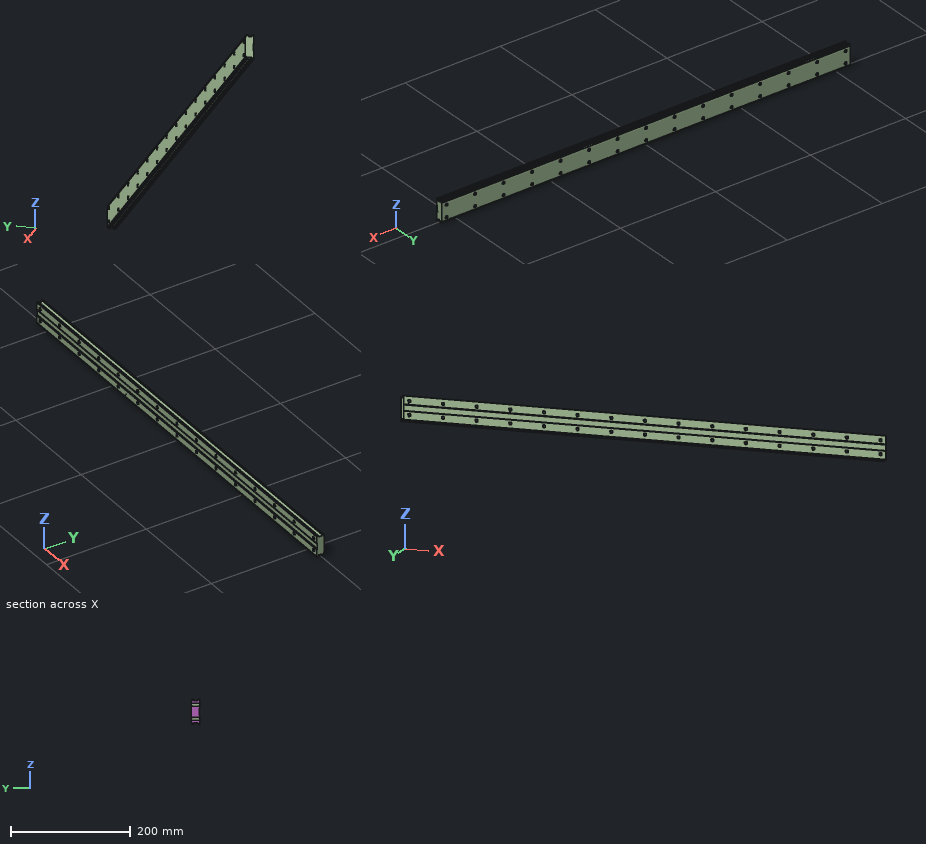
import math

import cadquery as cq

length = 860.0
depth = 15.0
height = 42.0

flange_chamfer = 0.5
flange_top_end = 3.0
flange_slope_angle = 55.0

ridge_centre = 11.55
tip_width = 2.2
raceway_width = 1.9
raceway_depth = 2.3
raceway_radius = 2.2

rear_face_height = 30.0

relief_height = 12.0
relief_depth = 1.0

hole_rows = 2
holes_per_row = 15
hole_pitch = 60.0
row_spacing = 24.0
hole_diameter = 4.5

front_y = -depth / 2
back_y = depth / 2
half_height = height / 2
floor_z = half_height - raceway_depth


def raceway_middle(start, end):
    """Return the point on a concave raceway arc halfway between its two ends."""
    run = end[0] - start[0]
    rise = end[1] - start[1]
    chord = math.hypot(run, rise)
    sagitta = raceway_radius - math.sqrt(raceway_radius**2 - (chord / 2) ** 2)
    middle_y = (start[0] + end[0]) / 2 + sagitta * rise / chord
    middle_z = (start[1] + end[1]) / 2 - sagitta * run / chord
    return middle_y, middle_z


def half_profile():
    """Draw the upper half of the cross-section as (Y, Z) points, closed along Z = 0."""
    relief_y = front_y + relief_depth
    relief_z = relief_height / 2
    flange_y = front_y + flange_top_end
    floor_y = flange_y + raceway_depth / math.tan(math.radians(flange_slope_angle))
    tip_front = (front_y + ridge_centre - tip_width / 2, half_height)
    tip_back = (front_y + ridge_centre + tip_width / 2, half_height)
    front_raceway_foot = (tip_front[0] - raceway_width, floor_z)
    rear_raceway_foot = (tip_back[0] + raceway_width, floor_z)
    return (
        cq.Workplane("YZ", origin=(-length / 2, 0, 0))
        .moveTo(relief_y, 0)
        .lineTo(relief_y, relief_z - relief_depth)
        .lineTo(front_y, relief_z)
        .lineTo(front_y, half_height - flange_chamfer)
        .lineTo(front_y + flange_chamfer, half_height)
        .lineTo(flange_y, half_height)
        .lineTo(floor_y, floor_z)
        .lineTo(*front_raceway_foot)
        .threePointArc(raceway_middle(front_raceway_foot, tip_front), tip_front)
        .lineTo(*tip_back)
        .threePointArc(raceway_middle(tip_back, rear_raceway_foot), rear_raceway_foot)
        .lineTo(back_y, rear_face_height / 2)
        .lineTo(back_y, 0)
    )


def make_rail():
    """Extrude the cross-section, mirrored about Z = 0, along X."""
    return half_profile().mirrorX().extrude(length)


def drill_holes(body):
    """Drill all rows of holes right through the rail."""
    front_plane = cq.Workplane("XZ", origin=(0, front_y, 0))
    holes = front_plane.rarray(hole_pitch, row_spacing, holes_per_row, hole_rows)
    return body.cut(holes.circle(hole_diameter / 2).extrude(-depth))


result = drill_holes(make_rail())